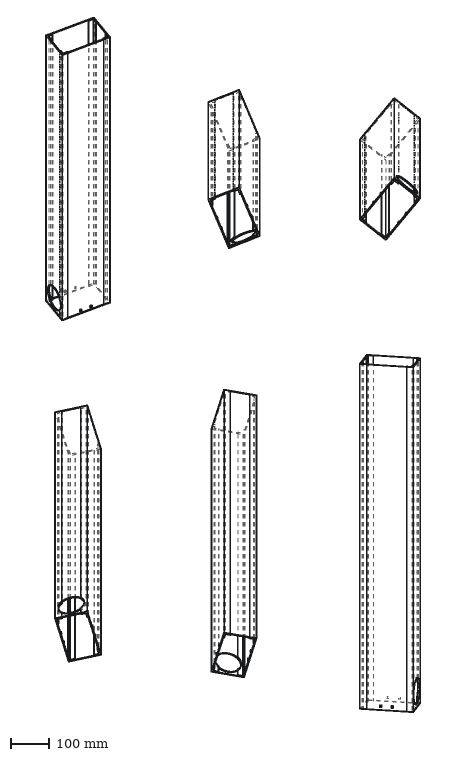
import cadquery as cq

width = 87.0
depth = 143.0
height = 940.0
wall = 2.5

corner_thickness = 5.0
corner_leg = 18.0

opening_diameter = 70.5
opening_height = 45.0

cross_hole_diameter = 6.0
cross_hole_spacing = 31.0
cross_hole_height = 10.0


def upright_box(size_x, size_y):
    """Full-height box centred on the tube axis, standing on Z = 0."""
    return cq.Workplane("XY").rect(size_x, size_y).extrude(height)


def tube_cavity():
    """Bore that leaves thin walls between the thickened corners."""
    core = upright_box(width - 2 * corner_thickness, depth - 2 * corner_thickness)
    side_reliefs = upright_box(width - 2 * wall, depth - 2 * corner_leg)
    end_reliefs = upright_box(width - 2 * corner_leg, depth - 2 * wall)
    return core.union(side_reliefs).union(end_reliefs)


def front_opening():
    """Cylinder from the front face to mid-depth, passing one wall only."""
    return (
        cq.Workplane("XZ")
        .center(0, opening_height)
        .circle(opening_diameter / 2)
        .extrude(depth / 2)
    )


def cross_holes():
    """Two cylinders along X, passing both side walls."""
    half_spacing = cross_hole_spacing / 2
    return (
        cq.Workplane("YZ")
        .pushPoints([(y, cross_hole_height) for y in (-half_spacing, half_spacing)])
        .circle(cross_hole_diameter / 2)
        .extrude(width / 2, both=True)
    )


result = upright_box(width, depth).cut(tube_cavity()).cut(front_opening()).cut(cross_holes())